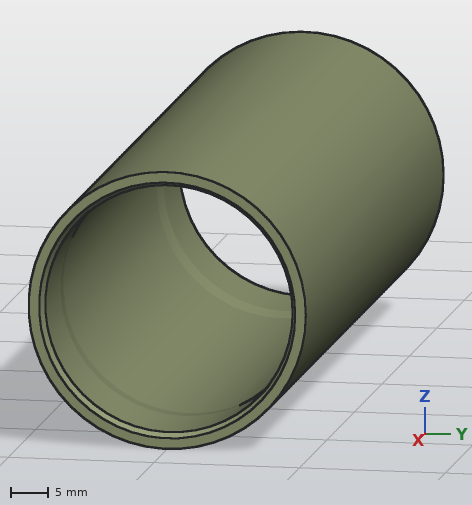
import cadquery as cq

length = 100.5
outer_diameter = 38.1
outer_radius = outer_diameter / 2
land_radius = 17.0
bore_radius = 17.3

entry_radius = 17.6
entry_depth = 1.3
land_depth = 12.8
taper_length = 3.5
taper_end = land_depth + taper_length

half_length = length / 2

wall_section = (
    cq.Workplane("XY")
    .moveTo(-half_length, outer_radius)
    .lineTo(-half_length, entry_radius)
    .lineTo(-half_length + entry_depth, land_radius)
    .lineTo(-half_length + land_depth, land_radius)
    .lineTo(-half_length + taper_end, bore_radius)
    .lineTo(half_length - taper_end, bore_radius)
    .lineTo(half_length - land_depth, land_radius)
    .lineTo(half_length - entry_depth, land_radius)
    .lineTo(half_length, entry_radius)
    .lineTo(half_length, outer_radius)
    .close()
)

result = wall_section.revolve(360, (0, 0, 0), (1, 0, 0))